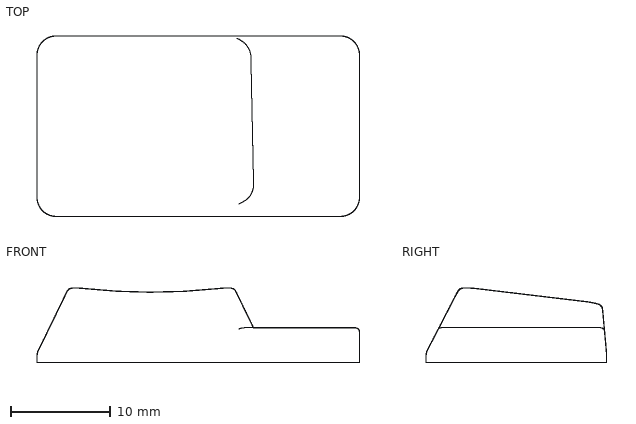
import cadquery as cq
import math

length = 32.45
width = 18.17
corner_radius = 1.95

bend_height = 0.97
bend_half_height = 0.35
skirt_height = bend_height - bend_half_height
wall_start = bend_height + bend_half_height
bend_sag = 0.25

key_length = 23.05
key_side_inset = 3.18
key_front_inset = 3.47
key_back_inset = 0.45
key_corner_radius = 1.8
front_rim_height = 7.7
top_slope = 0.12
dish_radius = 58.4
overshoot = 1.2

step_height = 3.5
step_start = 9.75

edge_radius = 0.45
flat_tolerance = 1e-6

key_depth = width - key_front_inset - key_back_inset
back_rim_height = front_rim_height - top_slope * key_depth
front_rise = front_rim_height - bend_height
back_rise = back_rim_height - bend_height
front_taper = key_front_inset / front_rise
back_taper = key_back_inset / back_rise
side_taper = 2 * key_side_inset / (front_rise + back_rise)

front_start = front_taper * bend_half_height
back_start = back_taper * bend_half_height
side_start = side_taper * bend_half_height


def rounded_wire(x_range, y_range, z_front, z_back, radius):
    """Rounded rectangle whose height runs linearly from the front to the back side."""
    x_min, x_max = x_range
    y_min, y_max = y_range
    depth = y_max - y_min
    rise = z_back - z_front
    sloped_depth = math.hypot(depth, rise)
    plane = cq.Plane(
        origin=((x_min + x_max) / 2, (y_min + y_max) / 2, (z_front + z_back) / 2),
        xDir=(1, 0, 0),
        normal=(0, -rise, depth),
    )
    half_x = (x_max - x_min) / 2
    half_y = sloped_depth / 2
    inner_x = half_x - radius
    inner_y = half_y - radius
    return (
        cq.Workplane(plane)
        .moveTo(-inner_x, -half_y)
        .lineTo(inner_x, -half_y)
        .radiusArc((half_x, -inner_y), -radius)
        .lineTo(half_x, inner_y)
        .radiusArc((inner_x, half_y), -radius)
        .lineTo(-inner_x, half_y)
        .radiusArc((-half_x, inner_y), -radius)
        .lineTo(-half_x, -inner_y)
        .radiusArc((-inner_x, -half_y), -radius)
        .close()
        .val()
    )


def wall_loft(bottom, top):
    """Straight walls between two wires; front and back become true planes so they can merge."""
    block = cq.Solid.makeLoft([bottom, top], True)
    faces = []
    for face in block.Faces():
        runs_along_x = abs(face.normalAt().x) < flat_tolerance
        faces.append(cq.Face.makeFromWires(face.outerWire()) if runs_along_x else face)
    return cq.Workplane(cq.Solid.makeSolid(cq.Shell.makeShell(faces)))


def make_base():
    def section(z, share):
        return rounded_wire(
            (share * side_start, length),
            (share * front_start, width - share * back_start),
            z,
            z,
            corner_radius,
        )

    skirt = cq.Solid.makeLoft([section(0, 0), section(skirt_height, 0)], True)
    band = cq.Solid.makeLoft(
        [section(skirt_height, 0), section(bend_height, bend_sag), section(wall_start, 1)]
    )
    return cq.Workplane(skirt).union(cq.Workplane(band))


def make_key():
    bottom = rounded_wire(
        (side_start, key_length - side_start),
        (front_start, width - back_start),
        wall_start,
        wall_start,
        corner_radius,
    )
    side = overshoot * key_side_inset
    top = rounded_wire(
        (side, key_length - side),
        (overshoot * key_front_inset, width - overshoot * key_back_inset),
        bend_height + overshoot * front_rise,
        bend_height + overshoot * back_rise,
        key_corner_radius,
    )
    block = wall_loft(bottom, top)

    half_chord = key_length / 2 - key_side_inset
    axis_offset = math.sqrt(dish_radius**2 - half_chord**2)
    dish_length = 4 * width
    tilt = math.hypot(1, top_slope)
    start = cq.Vector(
        key_length / 2,
        key_front_inset + axis_offset * top_slope / tilt,
        front_rim_height + axis_offset / tilt,
    )
    direction = cq.Vector(0, 1, -top_slope).normalized()
    dish = cq.Solid.makeCylinder(dish_radius, dish_length, start - direction * (dish_length / 2), direction)
    block = block.cut(cq.Workplane(dish))
    rim = block.faces("%CYLINDER")
    return rim.edges().fillet(edge_radius)


def make_step():
    def section(z):
        rise = z - bend_height
        return rounded_wire(
            (step_start, length),
            (front_taper * rise, width - back_taper * rise),
            z,
            z,
            corner_radius,
        )

    block = wall_loft(section(wall_start), section(step_height))
    return block.faces(">Z").edges().fillet(edge_radius)


result = make_base().union(make_key()).union(make_step()).clean()